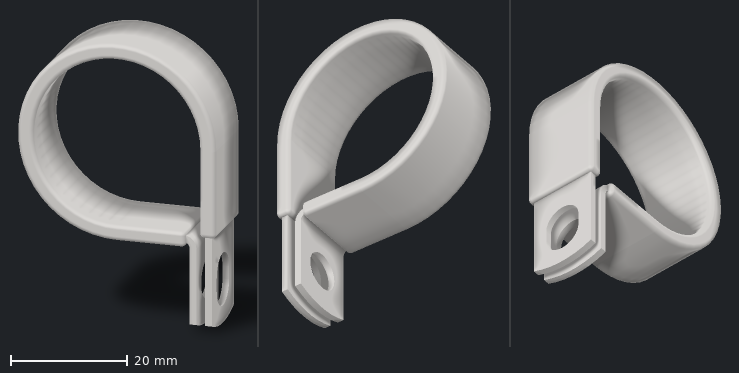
import cadquery as cq
import math


loop_outer_radius = 17.88
cushion_thickness = 2.86
edge_rounding = 0.79
cushion_width = 14.29
upright_leg_length = 15.88
level_leg_length = 12.42

strap_thickness = 1.22
tab_bottom_z = -33.27
tab_gap = 1.58
bend_inner_radius = 1.1
hole_diameter = 7.14
slot_length = 9.53
hole_height = 7.94
tip_radius = 16.0

strap_cover = (cushion_thickness - strap_thickness) / 2
loop_inner_radius = loop_outer_radius - cushion_thickness
strap_outer_radius = loop_outer_radius - strap_cover
strap_inner_radius = strap_outer_radius - strap_thickness
strap_width = cushion_width - 2 * edge_rounding
bend_outer_radius = bend_inner_radius + strap_thickness
near_tab_outer_x = strap_inner_radius - tab_gap
near_tab_inner_x = near_tab_outer_x - strap_thickness
bend_center_x = near_tab_inner_x - bend_inner_radius
bend_center_z = -strap_outer_radius - bend_inner_radius


def make_cushion():
    """Three-quarter loop with a straight leg at each end and every edge rounded."""
    leg_end_faces = cq.selectors.BoxSelector(
        (level_leg_length - edge_rounding, -cushion_width, -loop_outer_radius),
        (loop_outer_radius, cushion_width, -upright_leg_length + edge_rounding),
    )
    mid_outer = loop_outer_radius * math.sqrt(0.5)
    mid_inner = loop_inner_radius * math.sqrt(0.5)
    return (
        cq.Workplane("XZ", origin=(0, cushion_width / 2, 0))
        .moveTo(loop_outer_radius, -upright_leg_length)
        .lineTo(loop_outer_radius, 0)
        .threePointArc((-mid_outer, mid_outer), (0, -loop_outer_radius))
        .lineTo(level_leg_length, -loop_outer_radius)
        .lineTo(level_leg_length, -loop_inner_radius)
        .lineTo(0, -loop_inner_radius)
        .threePointArc((-mid_inner, mid_inner), (loop_inner_radius, 0))
        .lineTo(loop_inner_radius, -upright_leg_length)
        .close()
        .extrude(cushion_width)
        .faces(leg_end_faces).edges("|Y")
        .fillet(edge_rounding)
        .faces("<Y or >Y").edges()
        .fillet(edge_rounding)
    )


def make_far_tab():
    """Straight strap end running down out of the upright leg."""
    return cq.Workplane("XY").box(
        strap_thickness, strap_width, -tab_bottom_z, centered=(False, True, False)
    ).translate((strap_inner_radius, 0, tab_bottom_z))


def make_near_tab():
    """Strap end that leaves the level leg and bends down beside the far tab."""
    outer_mid = bend_outer_radius * math.sqrt(0.5)
    inner_mid = bend_inner_radius * math.sqrt(0.5)
    return (
        cq.Workplane("XZ", origin=(0, strap_width / 2, 0))
        .moveTo(0, -strap_inner_radius)
        .lineTo(bend_center_x, -strap_inner_radius)
        .threePointArc(
            (bend_center_x + outer_mid, bend_center_z + outer_mid),
            (near_tab_outer_x, bend_center_z),
        )
        .lineTo(near_tab_outer_x, tab_bottom_z)
        .lineTo(near_tab_inner_x, tab_bottom_z)
        .lineTo(near_tab_inner_x, bend_center_z)
        .threePointArc(
            (bend_center_x + inner_mid, bend_center_z + inner_mid),
            (bend_center_x, -strap_outer_radius),
        )
        .lineTo(0, -strap_outer_radius)
        .close()
        .extrude(strap_width)
    )


def make_tab_outline(opening_height):
    """Bar along X whose section is the tab shape: straight sides, arched tip and bolt opening."""
    half_width = strap_width / 2
    tip_rise = tip_radius - math.sqrt(tip_radius**2 - half_width**2)
    blank = (
        cq.Workplane("YZ")
        .moveTo(-half_width, 0)
        .lineTo(-half_width, tab_bottom_z + tip_rise)
        .threePointArc((0, tab_bottom_z), (half_width, tab_bottom_z + tip_rise))
        .lineTo(half_width, 0)
        .close()
        .extrude(loop_outer_radius)
    )
    opening = cq.Workplane("YZ", origin=(0, 0, tab_bottom_z + hole_height))
    if opening_height > hole_diameter:
        opening = opening.slot2D(opening_height, hole_diameter, angle=90)
    else:
        opening = opening.circle(hole_diameter / 2)
    return blank.cut(opening.extrude(loop_outer_radius))


far_tab = make_far_tab().intersect(make_tab_outline(slot_length))
near_tab = make_near_tab().intersect(make_tab_outline(hole_diameter))
result = make_cushion().union(far_tab).union(near_tab)